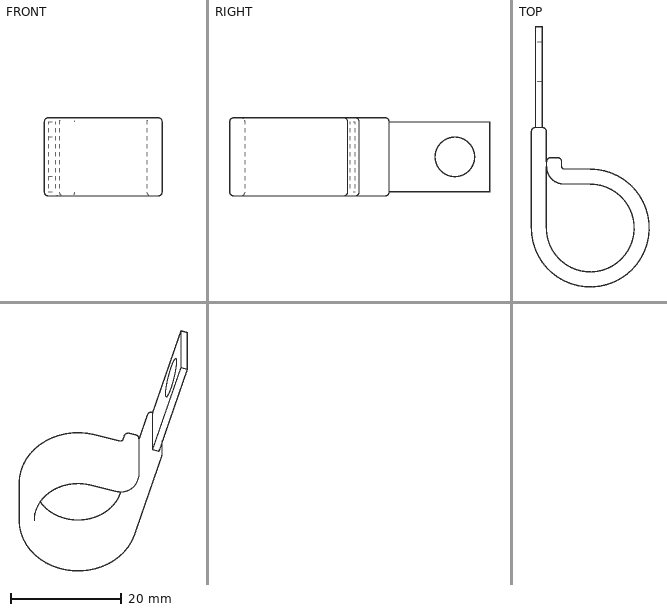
import cadquery as cq
import math

strap_thickness = 1.245
strap_width = 12.7
strap_end_y = 36.505
hole_diameter = 7.14
hole_to_strap_end = 6.35

cushion_wall = 0.76
loop_outer_radius = 10.705
cushion_end_y = 18.25
hook_end_y = 12.78
hook_inner_radius = 0.44
joint_tolerance = 0.01

cushion_thickness = strap_thickness + 2 * cushion_wall
cushion_width = strap_width + 2 * cushion_wall
loop_inner_radius = loop_outer_radius - cushion_thickness
hook_outer_radius = hook_inner_radius + cushion_thickness

loop_mid_angle = 45
hook_mid_angle = 225

hook_bend_x = -loop_inner_radius + hook_outer_radius
hook_bend_y = loop_outer_radius + hook_inner_radius


def on_arc(center_x, center_y, radius, degrees):
    """Point on a circle at the given angle from +X."""
    angle = math.radians(degrees)
    return (center_x + radius * math.cos(angle), center_y + radius * math.sin(angle))


def extrude_rounded(outline):
    """Extrude a cushion outline and round its rims and free end, leaving the joint at Y = 0 square."""
    body = outline.extrude(cushion_width / 2, both=True)
    outer_edges = body.faces("|Z or >Y").edges()
    return outer_edges.filter(lambda edge: abs(edge.Center().y) > joint_tolerance).fillet(cushion_wall)


def leg_and_lower_loop():
    """Straight leg running into the lower half of the loop."""
    outline = (
        cq.Workplane("XY")
        .moveTo(-loop_outer_radius, cushion_end_y)
        .lineTo(-loop_outer_radius, 0)
        .threePointArc((0, -loop_outer_radius), (loop_outer_radius, 0))
        .lineTo(loop_inner_radius, 0)
        .threePointArc((0, -loop_inner_radius), (-loop_inner_radius, 0))
        .lineTo(-loop_inner_radius, cushion_end_y)
        .close()
    )
    return extrude_rounded(outline)


def upper_loop_and_hook():
    """Upper quarter of the loop, a straight run, and the hooked end turned up along the leg."""
    hook_left_x = hook_bend_x - hook_outer_radius
    hook_right_x = hook_bend_x - hook_inner_radius
    outline = (
        cq.Workplane("XY")
        .moveTo(loop_outer_radius, 0)
        .threePointArc(on_arc(0, 0, loop_outer_radius, loop_mid_angle), (0, loop_outer_radius))
        .lineTo(hook_bend_x, loop_outer_radius)
        .threePointArc(
            on_arc(hook_bend_x, hook_bend_y, hook_inner_radius, hook_mid_angle),
            (hook_right_x, hook_bend_y),
        )
        .lineTo(hook_right_x, hook_end_y)
        .lineTo(hook_left_x, hook_end_y)
        .lineTo(hook_left_x, hook_bend_y)
        .threePointArc(
            on_arc(hook_bend_x, hook_bend_y, hook_outer_radius, hook_mid_angle),
            (hook_bend_x, loop_inner_radius),
        )
        .lineTo(0, loop_inner_radius)
        .threePointArc(on_arc(0, 0, loop_inner_radius, loop_mid_angle), (loop_inner_radius, 0))
        .close()
    )
    return extrude_rounded(outline)


def mounting_tab():
    """Bare strap leaving the leg of the cushion, with its screw hole."""
    strap_center_x = -loop_outer_radius + cushion_thickness / 2
    tab = cq.Workplane("XY").box(
        strap_thickness, strap_end_y, strap_width, centered=(True, False, True)
    )
    hole = (
        cq.Workplane("YZ")
        .center(strap_end_y - hole_to_strap_end, 0)
        .circle(hole_diameter / 2)
        .extrude(strap_thickness, both=True)
    )
    return tab.cut(hole).translate((strap_center_x, 0, 0))


result = leg_and_lower_loop().union(upper_loop_and_hook()).union(mounting_tab())